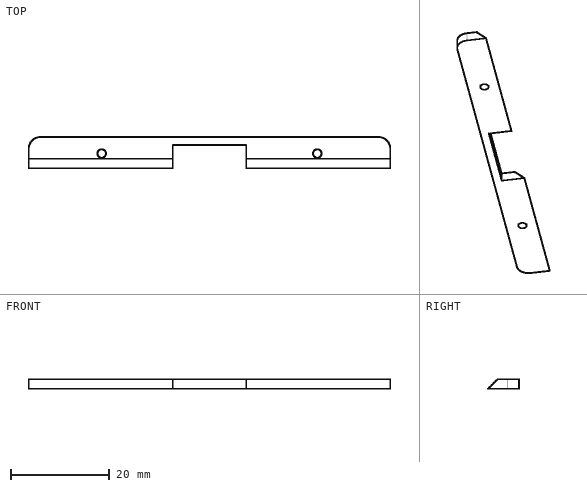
import cadquery as cq

length = 73.8
depth = 6.4
thickness = 2.0

corner_radius = 2.4
notch_width = 14.9
back_web = 1.7
hole_spacing = 44.0
hole_diameter = 1.7
hole_from_back = 3.4


def beveled_bar():
    """Bar whose front face slopes back at 45 degrees from the bottom edge."""
    profile = [(0, 0), (depth, 0), (depth, thickness), (thickness, thickness)]
    bar = cq.Workplane("YZ").polyline(profile).close().extrude(length / 2, both=True)
    return bar.edges("|Z and >Y").fillet(corner_radius)


def notch():
    """Central opening through the front edge, over the full thickness."""
    notch_depth = depth - back_web
    return cq.Workplane("XY").rect(notch_width, 2 * notch_depth).extrude(thickness)


def screw_holes():
    """Two through holes, one in each half of the bar."""
    hole_y = depth - hole_from_back
    centers = [(-hole_spacing / 2, hole_y), (hole_spacing / 2, hole_y)]
    return cq.Workplane("XY").pushPoints(centers).circle(hole_diameter / 2).extrude(thickness)


result = beveled_bar().cut(notch()).cut(screw_holes())